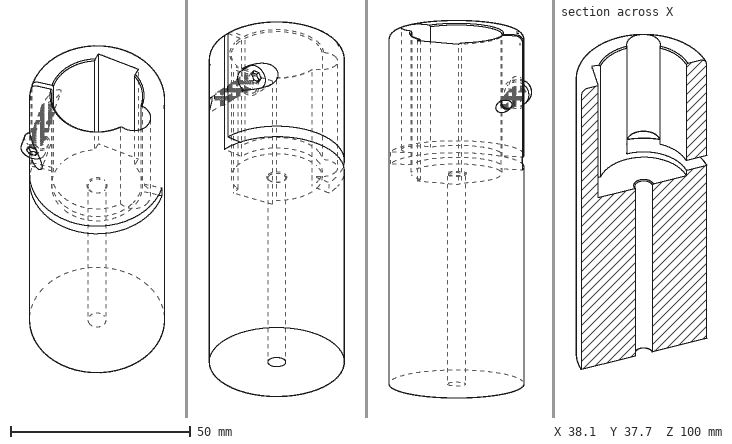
import cadquery as cq
import math

LENGTH = 100.0
BODY_DIAMETER = 37.7
BODY_RADIUS = BODY_DIAMETER / 2
TOP_ROUND = 2.0

BORE_DIAMETER = 25.4
BORE_RADIUS = BORE_DIAMETER / 2
BORE_DEPTH = 40.0
BORE_CHAMFER = 0.4
CENTRE_HOLE_DIAMETER = 5.0
CENTRE_HOLE_CHAMFER = 0.3

NOTCH_WIDTH = 12.4
NOTCH_REACH = 13.5
NOTCH_TURN = -10.0

POCKET_RADIUS = 4.7
POCKET_X = 12.0
POCKET_Y = -4.7

CROSS_SLOT_BOTTOM = 61.9
CROSS_SLOT_HEIGHT = 3.4
SLIT_WIDTH = 1.4

HEAD_DIAMETER = 7.0
HEAD_HEIGHT = 4.0
HEAD_ROUND = 0.5
SOCKET_SIDES = 6
SOCKET_FLATS = 3.0
SOCKET_DEPTH = 2.0
SOCKET_TIP_ANGLE = 120.0
THREAD_DIAMETER = 4.0
THREAD_PITCH = 0.7
THREAD_DEPTH = 0.4
THREAD_CREST_WIDTH = 0.1
THREAD_ROOT_WIDTH = 0.2
SHANK_LENGTH = 12.0
HEAD_OVERHANG = 0.4
SCREW_X = HEAD_DIAMETER / 2 - BODY_RADIUS - HEAD_OVERHANG
SCREW_Z = 82.0
SEAT_Y = -6.3
HEAD_END_Y = SEAT_Y - HEAD_HEIGHT
SHANK_END_Y = SEAT_Y + SHANK_LENGTH

COUNTERBORE_DIAMETER = 8.2
CLEARANCE_DIAMETER = 4.4
TAP_DRILL_DIAMETER = 3.4


def cylinder_along_y(diameter, start_y, end_y):
    """Cylinder on the screw axis between two Y positions."""
    return (
        cq.Workplane("XZ", origin=(SCREW_X, start_y, SCREW_Z))
        .circle(diameter / 2)
        .extrude(start_y - end_y)
    )


def block(x_range, y_range, z_range):
    """Rectangular block given by its limits on each axis."""
    sizes = [high - low for low, high in (x_range, y_range, z_range)]
    corner = (x_range[0], y_range[0], z_range[0])
    return cq.Workplane("XY").box(*sizes, centered=False).translate(corner)


def make_blank():
    """Round bar with a rounded top edge."""
    return cq.Workplane("XY").circle(BODY_RADIUS).extrude(LENGTH).faces(">Z").edges().fillet(TOP_ROUND)


def make_bore():
    """Stepped hole on the axis: chamfered bore above a chamfered through hole."""
    floor_z = LENGTH - BORE_DEPTH
    hole_radius = CENTRE_HOLE_DIAMETER / 2
    profile = [
        (0, 0),
        (hole_radius, 0),
        (hole_radius, floor_z - CENTRE_HOLE_CHAMFER),
        (hole_radius + CENTRE_HOLE_CHAMFER, floor_z),
        (BORE_RADIUS, floor_z),
        (BORE_RADIUS, LENGTH - BORE_CHAMFER),
        (BORE_RADIUS + BORE_CHAMFER, LENGTH),
        (0, LENGTH),
    ]
    return cq.Workplane("XZ").polyline(profile).close().revolve(360, (0, 0, 0), (0, 1, 0))


def make_notch():
    """Flat-bottomed notch running the full depth of the bore."""
    half_width = NOTCH_WIDTH / 2
    notch = block((-half_width, half_width), (0, NOTCH_REACH), (LENGTH - BORE_DEPTH, LENGTH))
    return notch.rotate((0, 0, 0), (0, 0, 1), NOTCH_TURN)


def make_pocket():
    """Round pocket through the clamping jaw, down to the cross slot."""
    return (
        cq.Workplane("XY", origin=(POCKET_X, POCKET_Y, CROSS_SLOT_BOTTOM))
        .circle(POCKET_RADIUS)
        .extrude(LENGTH - CROSS_SLOT_BOTTOM)
    )


def make_jaw_slots():
    """Cross slot through the -Y half and upright slit on the -X side."""
    cross_slot_top = CROSS_SLOT_BOTTOM + CROSS_SLOT_HEIGHT
    cross_slot = block(
        (-BODY_DIAMETER, BODY_DIAMETER), (-BODY_DIAMETER, 0), (CROSS_SLOT_BOTTOM, cross_slot_top)
    )
    slit = block((-BODY_DIAMETER, 0), (-SLIT_WIDTH, 0), (CROSS_SLOT_BOTTOM, LENGTH))
    return cross_slot.union(slit)


def make_screw_hole():
    """Counterbore and clearance hole in the jaw, then a threaded seat and its tap drill hole."""
    counterbore = cylinder_along_y(COUNTERBORE_DIAMETER, -BODY_DIAMETER, SEAT_Y)
    clearance = cylinder_along_y(CLEARANCE_DIAMETER, SEAT_Y, 0)
    threaded_seat = cylinder_along_y(THREAD_DIAMETER, 0, SHANK_END_Y)
    tap_drill = cylinder_along_y(TAP_DRILL_DIAMETER, SHANK_END_Y, BODY_DIAMETER)
    return counterbore.union(clearance).union(threaded_seat).union(tap_drill)


def make_holder():
    holder = make_blank()
    for cutter in (make_bore(), make_notch(), make_pocket(), make_jaw_slots(), make_screw_hole()):
        holder = holder.cut(cutter)
    return holder


def make_shank():
    """Screw shank with its thread modelled as a row of tapered rings."""
    crest_radius = THREAD_DIAMETER / 2
    root_radius = crest_radius - THREAD_DEPTH
    ring_count = math.floor(SHANK_LENGTH / THREAD_PITCH)
    flank_width = (THREAD_PITCH - THREAD_CREST_WIDTH - THREAD_ROOT_WIDTH) / 2
    profile = [(0, 0), (crest_radius, 0)]
    for ring in range(ring_count):
        groove_start = ring * THREAD_PITCH + THREAD_CREST_WIDTH
        root_start = groove_start + flank_width
        root_end = root_start + THREAD_ROOT_WIDTH
        profile.append((crest_radius, groove_start))
        profile.append((root_radius, root_start))
        profile.append((root_radius, root_end))
        profile.append((crest_radius, root_end + flank_width))
    profile += [(crest_radius, SHANK_LENGTH), (0, SHANK_LENGTH)]
    shank = cq.Workplane("XY").polyline(profile).close().revolve(360, (0, 0, 0), (0, 1, 0))
    return shank.translate((SCREW_X, SEAT_Y, SCREW_Z))


def make_socket():
    """Hexagonal socket, corners along X, ending in a conical bottom."""
    corner_radius = SOCKET_FLATS / 2 / math.cos(math.pi / SOCKET_SIDES)
    cone_height = corner_radius / math.tan(math.radians(SOCKET_TIP_ANGLE / 2))
    hexagon = (
        cq.Workplane("XZ", origin=(SCREW_X, HEAD_END_Y, SCREW_Z))
        .polygon(SOCKET_SIDES, 2 * corner_radius)
        .extrude(-SOCKET_DEPTH)
    )
    profile = [
        (0, 0),
        (corner_radius, 0),
        (corner_radius, SOCKET_DEPTH - cone_height),
        (0, SOCKET_DEPTH),
    ]
    pointed_bore = cq.Workplane("XY").polyline(profile).close().revolve(360, (0, 0, 0), (0, 1, 0))
    return hexagon.intersect(pointed_bore.translate((SCREW_X, HEAD_END_Y, SCREW_Z)))


def make_screw():
    """Socket head cap screw with its head towards -Y."""
    head = cylinder_along_y(HEAD_DIAMETER, HEAD_END_Y, SEAT_Y)
    head = head.faces("<Y").edges().fillet(HEAD_ROUND)
    return head.cut(make_socket()).union(make_shank())


holder = make_holder()
screw = make_screw()
result = cq.Compound.makeCompound([holder.val(), screw.val()])